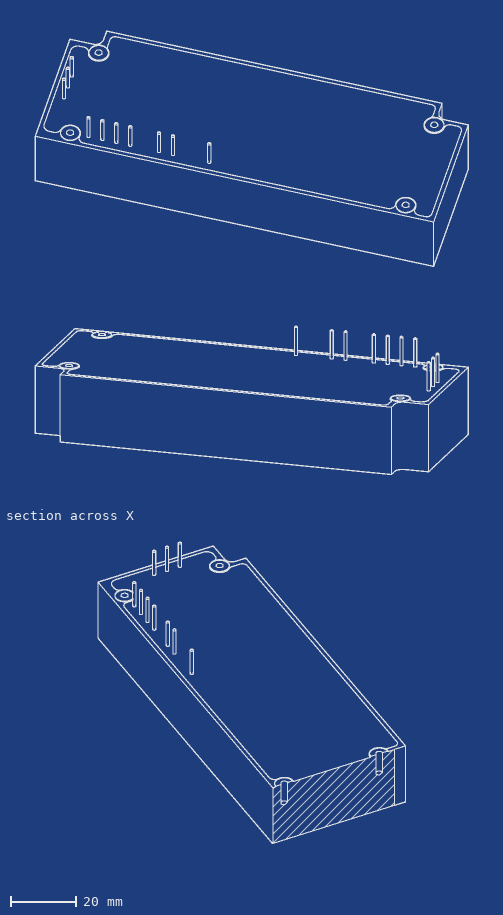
import cadquery as cq
import math

length = 127.0
width = 46.0
total_height = 31.0
pin_height = 9.3
body_height = total_height - pin_height

notch_length = 10.0
notch_depth = 6.1
notch_fillet = 2.5
shoulder_y = width - notch_depth

boss_diameter = 6.0
boss_height = 0.3
hole_diameter = 2.2
hole_depth = 7.6
drill_tip_angle = 118.0
boss_inset_x = 10.0
boss_front_y = 4.1
boss_rear_y = shoulder_y - boss_diameter / 2
boss_places = [
    (x, y)
    for x in (boss_inset_x, length - boss_inset_x)
    for y in (boss_front_y, boss_rear_y)
]

rim = 1.4
recess_depth = 0.06
boss_clearance = 0.19
recess_corner_radius = 1.7
left_lobe_radius = 2.3
left_lobe_front_y = 3.0
left_notch_rim = 1.9
neck_radius = 1.9

pin_diameter = 1.0
pin_tip_chamfer = 0.4
pin_pitch = 4.5
side_pin_x = 4.5
side_pin_first_y = 17.1
side_pin_count = 3
row_pin_y = 4.5
row_pin_groups = ((15.7, 4), (38.2, 2), (54.2, 1))
pin_places = [(side_pin_x, side_pin_first_y + i * pin_pitch) for i in range(side_pin_count)]
for first_x, pin_count in row_pin_groups:
    pin_places += [(first_x + i * pin_pitch, row_pin_y) for i in range(pin_count)]


def block(x_min, x_max, y_min, y_max, z_min, height):
    """Upright box between the given limits."""
    return (
        cq.Workplane("XY", origin=(x_min, y_min, z_min))
        .box(x_max - x_min, y_max - y_min, height, centered=False)
    )


def make_case():
    """Plain body with the two rounded corner notches."""
    case = block(0, length, 0, width, 0, body_height)
    for x_min in (0, length - notch_length):
        case = case.cut(block(x_min, x_min + notch_length, shoulder_y, width, 0, body_height))
    inner_corners = cq.selectors.BoxSelector(
        (notch_length - rim, shoulder_y - rim, 0),
        (length - notch_length + rim, shoulder_y + rim, body_height),
    )
    return case.edges("|Z").edges(inner_corners).fillet(notch_fillet)


def make_recess():
    """Tool for the filled area: the case outline less its rim and the boss surrounds."""
    floor_z = body_height - recess_depth
    left_lobe = block(
        rim, boss_inset_x, left_lobe_front_y, shoulder_y - left_notch_rim, floor_z, recess_depth
    ).edges("|Z and <X").fillet(left_lobe_radius)
    right_lobe = block(
        length - boss_inset_x, length - rim, rim, shoulder_y - rim, floor_z, recess_depth
    ).edges("|Z and >X").fillet(recess_corner_radius)
    middle = block(
        boss_inset_x, length - boss_inset_x, rim, shoulder_y - rim, floor_z, recess_depth
    )
    rear_x_min = notch_length + left_notch_rim
    rear_x_max = length - notch_length - rim
    rear = block(
        rear_x_min, rear_x_max, boss_rear_y, width - rim, floor_z, recess_depth
    ).edges("|Z and >Y").fillet(recess_corner_radius)
    surrounds = (
        cq.Workplane("XY", origin=(0, 0, floor_z))
        .pushPoints(boss_places)
        .circle(boss_diameter / 2 + boss_clearance)
        .extrude(recess_depth)
    )
    recess = middle.union(left_lobe).union(right_lobe).union(rear).cut(surrounds)
    for x, y in boss_places:
        reach = boss_diameter / 2 + 2 * boss_clearance
        near_boss = cq.selectors.BoxSelector(
            (x - reach, y - reach, 0), (x + reach, y + reach, total_height)
        )
        recess = recess.edges("|Z").edges(near_boss).fillet(neck_radius)
    return recess


def make_bosses():
    """Low round pads around the mounting holes."""
    return (
        cq.Workplane("XY", origin=(0, 0, body_height - recess_depth))
        .pushPoints(boss_places)
        .circle(boss_diameter / 2)
        .extrude(recess_depth + boss_height)
    )


def make_hole():
    """Blind drilled hole with a conical end, its mouth at the origin."""
    radius = hole_diameter / 2
    tip_length = radius / math.tan(math.radians(drill_tip_angle / 2))
    return (
        cq.Workplane("XZ")
        .polyline([(0, 0), (radius, 0), (radius, -hole_depth), (0, -hole_depth - tip_length)])
        .close()
        .revolve(360, (0, 0, 0), (0, 1, 0))
    )


def make_pins():
    """Round terminal pins with chamfered tips."""
    return (
        cq.Workplane("XY", origin=(0, 0, body_height - recess_depth))
        .pushPoints(pin_places)
        .circle(pin_diameter / 2)
        .extrude(pin_height + recess_depth)
        .faces(">Z")
        .chamfer(pin_tip_chamfer)
    )


result = make_case().cut(make_recess()).union(make_bosses())
for boss_x, boss_y in boss_places:
    result = result.cut(make_hole().translate((boss_x, boss_y, body_height + boss_height)))
result = result.union(make_pins())